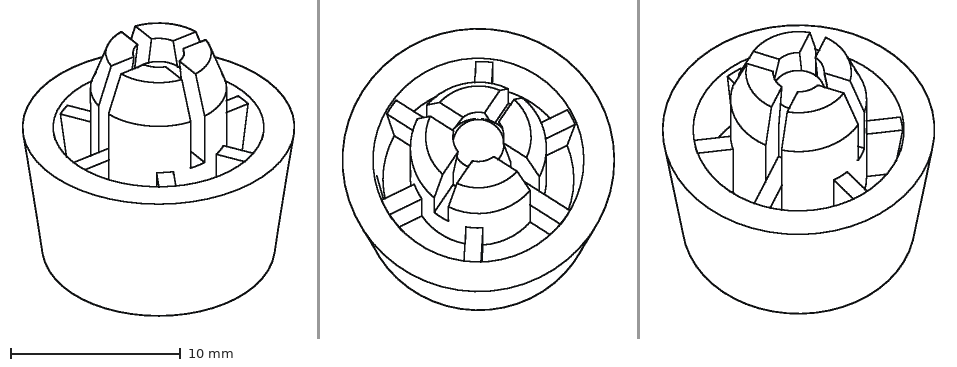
import cadquery as cq

foot_height = 9.0
rim_radius = 8.0
base_radius = 6.8
wall_taper = (rim_radius - base_radius) / foot_height
base_fillet = 0.5
rim_width = 1.8
floor_height = 4.6
cavity_rim_radius = rim_radius - rim_width
cavity_floor_radius = cavity_rim_radius - wall_taper * (foot_height - floor_height)

post_height = 14.3
post_shoulder_height = 11.8
post_radius = 4.0
post_tip_radius = 3.1
slot_width = 1.0
slot_angles = (0, 90)

rib_count = 6
rib_first_angle = 30
rib_width = 1.0
rib_top = 8.5

pin_radius = 2.0
pin_tip_radius = 1.5
pin_shoulder_height = 11.0
pin_height = 12.65


def turned(profile):
    """Solid of revolution about Z from a list of (radius, height) points that starts and ends on the axis."""
    return cq.Workplane("XZ").polyline(profile).close().revolve(360, (0, 0), (0, 1))


def frustum(bottom_radius, bottom_height, top_radius, top_height):
    """Solid cone section about the Z axis."""
    return turned([
        (0, bottom_height),
        (bottom_radius, bottom_height),
        (top_radius, top_height),
        (0, top_height),
    ])


def cone_tipped_rod(bottom_height, radius, shoulder_height, tip_radius, top_height):
    """Straight rod about the Z axis that narrows from a shoulder up to its tip."""
    return turned([
        (0, bottom_height),
        (radius, bottom_height),
        (radius, shoulder_height),
        (tip_radius, top_height),
        (0, top_height),
    ])


def make_foot():
    """Cup with ribs and a bored, cross-slotted snap post."""
    outside = frustum(base_radius, 0, rim_radius, foot_height).faces("<Z").edges().fillet(base_fillet)
    cavity = frustum(cavity_floor_radius, floor_height, cavity_rim_radius, foot_height)
    foot = outside.cut(cavity)

    for index in range(rib_count):
        angle = rib_first_angle + index * 360 / rib_count
        rib = (
            cq.Workplane("XY", origin=(0, 0, floor_height))
            .rect(cavity_rim_radius, rib_width)
            .extrude(rib_top - floor_height)
            .translate((cavity_rim_radius / 2, 0, 0))
            .rotate((0, 0, 0), (0, 0, 1), angle)
        )
        foot = foot.union(rib.intersect(cavity))

    post = cone_tipped_rod(floor_height, post_radius, post_shoulder_height, post_tip_radius, post_height)
    foot = foot.union(post)

    for angle in slot_angles:
        slot = (
            cq.Workplane("XY", origin=(0, 0, rib_top))
            .rect(2 * post_radius, slot_width)
            .extrude(post_height - rib_top)
            .rotate((0, 0, 0), (0, 0, 1), angle)
        )
        foot = foot.cut(slot)

    bore = cone_tipped_rod(0, pin_radius, pin_shoulder_height, pin_tip_radius, post_height)
    return foot.cut(bore)


def make_pin():
    """Straight pin, flush with the base of the foot, with a conical tip."""
    return cone_tipped_rod(0, pin_radius, pin_shoulder_height, pin_tip_radius, pin_height)


foot = make_foot()
pin = make_pin()

result = cq.Compound.makeCompound([foot.solids().val(), pin.val()])